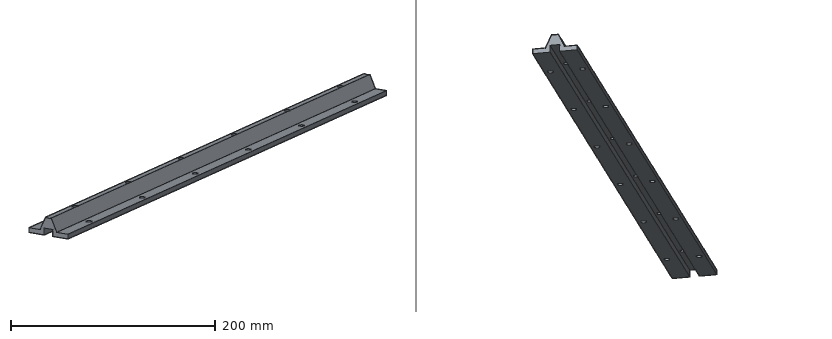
import cadquery as cq

length = 599.5
base_width = 45.0
height = 18.5

flange_thickness = 5.0
ridge_base_width = 19.0
ridge_top_width = 6.5
cradle_depth = 0.5
channel_width = 9.5
channel_height = 7.0

hole_diameter = 5.5
hole_rows = 6
hole_pitch = length / hole_rows
flange_hole_spacing = 32.5


def rail_body():
    """Flanged rail with a tapered ridge and a concave cradle along its crest."""
    half_base = base_width / 2
    half_ridge = ridge_base_width / 2
    half_top = ridge_top_width / 2
    half_channel = channel_width / 2
    return (
        cq.Workplane("XZ")
        .moveTo(-half_base, 0)
        .lineTo(-half_base, flange_thickness)
        .lineTo(-half_ridge, flange_thickness)
        .lineTo(-half_top, height)
        .threePointArc((0, height - cradle_depth), (half_top, height))
        .lineTo(half_ridge, flange_thickness)
        .lineTo(half_base, flange_thickness)
        .lineTo(half_base, 0)
        .lineTo(half_channel, 0)
        .lineTo(half_channel, channel_height)
        .lineTo(-half_channel, channel_height)
        .lineTo(-half_channel, 0)
        .close()
        .extrude(length / 2, both=True)
    )


def mounting_holes():
    """Vertical through holes: one per flange and one through the ridge in every row."""
    return (
        cq.Workplane("XY")
        .rarray(flange_hole_spacing / 2, hole_pitch, 3, hole_rows)
        .circle(hole_diameter / 2)
        .extrude(height)
    )


result = rail_body().cut(mounting_holes())